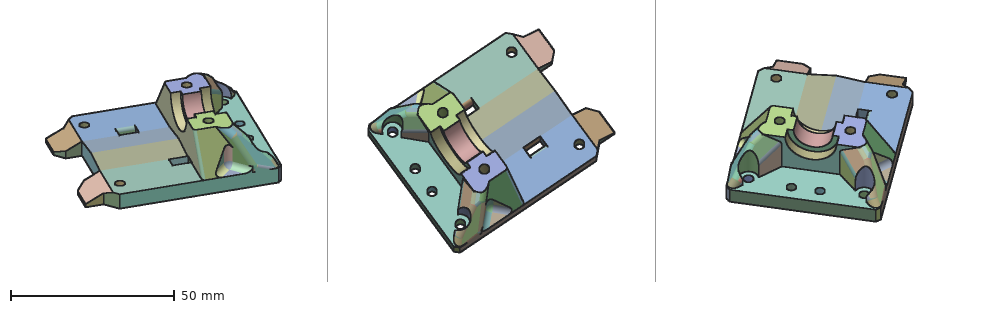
import cadquery as cq
WIDTH = 48.25
LENGTH = 62.0
PLATE_TOP = 5.2
PLATE_FRONT = 8.1
BACK_CORNER = 1.3
RIDGE_HALF_WIDTH = 9.05
RIDGE_TOP = 6.3
HALF_WIDTH = WIDTH / 2

TONGUE_OUTER_X = 20.2
TONGUE_INNER_X = RIDGE_HALF_WIDTH
TONGUE_INNER_CORNER = 3.0
TONGUE_TIP_HEIGHT = 1.2
FRONT_CORNER = HALF_WIDTH - TONGUE_OUTER_X
FRONT_CORNER_START = 9.7

TOP = 18.0
BLOCK_FRONT = 36.3
BLOCK_BACK = 49.05
BLOCK_TOP_HALF_WIDTH = 15.1
BLOCK_EDGE_RADIUS = 1.0

BORE_RADIUS = 6.1
COUNTERBORE_RADIUS = 8.0
BORE_FRONT = 39.45
BORE_BACK = 45.5

WING_TOP_SLOPE = 0.55
WING_BACK_SLOPE_X = 0.4
WING_BACK_SLOPE_Y = 1.18
WING_OUTER_SLOPE_X = 1.39
WING_OUTER_SLOPE_Y = 0.36
WING_SIDE_HEIGHT = 7.75
WING_RADIUS = 2.0
WING_SIDE_RADIUS = 1.5
WING_OVERRUN = 7.45

NOTCH_X = 17.8
NOTCH_Y = 46.15
NOTCH_RADIUS = 2.0
NOTCH_FLOOR_RADIUS = 1.9
NOTCH_BACK = NOTCH_Y + HALF_WIDTH - NOTCH_X

SCREW_DIAMETER = 3.1
PIN_DIAMETER = 3.0
CORNER_HOLE_X = 18.05
CORNER_HOLE_FRONT_Y = 11.7
CORNER_HOLE_BACK_Y = 56.25
BLOCK_HOLE_X = 11.05
BLOCK_HOLE_Y = 42.35
PIN_X = 4.45
PIN_Y = 57.3
SCREW_HEAD_DIAMETER = 6.3

SLOT_LENGTH = 6.25
SLOT_WIDTH = 3.1
SLOT_EDGE_RADIUS = 1.0
LEFT_SLOT_FRONT = 20.1
RIGHT_SLOT_FRONT = 30.3


def front_prism(points, y_start, y_end):
    """Extrude an XZ outline along Y."""
    outline = cq.Workplane("XZ", origin=(0, y_start, 0)).polyline(points).close()
    return outline.extrude(y_start - y_end)


def half_space(point, normal):
    """Large block that fills the side of a plane its normal points to."""
    reach = 4 * LENGTH
    return cq.Workplane(cq.Plane(point, normal=normal)).rect(reach, reach).extrude(reach)


def hole(x, y, diameter):
    return cq.Workplane("XY").center(x, y).circle(diameter / 2).extrude(TOP)


def mirrored(shape):
    return shape.union(shape.mirror("YZ"))


def plate_outline():
    """Left half of the plate and its tongue."""
    return [
        (0, PLATE_FRONT),
        (-TONGUE_INNER_X, PLATE_FRONT),
        (-TONGUE_INNER_X, TONGUE_INNER_CORNER),
        (-TONGUE_INNER_X - TONGUE_INNER_CORNER, 0),
        (-TONGUE_OUTER_X, 0),
        (-TONGUE_OUTER_X, FRONT_CORNER_START - FRONT_CORNER),
        (-HALF_WIDTH, FRONT_CORNER_START),
        (-HALF_WIDTH, LENGTH - BACK_CORNER),
        (-HALF_WIDTH + BACK_CORNER, LENGTH),
        (0, LENGTH),
    ]


def plate_prism(height):
    return mirrored(cq.Workplane("XY").polyline(plate_outline()).close().extrude(height))


def plate():
    """Plate with sloping tongues and a low ridge along the middle."""
    tongue_drop = PLATE_TOP - TONGUE_TIP_HEIGHT
    above_tongues = half_space((0, PLATE_FRONT, PLATE_TOP), (0, -tongue_drop, PLATE_FRONT))
    ridge = front_prism(
        [(-RIDGE_HALF_WIDTH, 0), (-RIDGE_HALF_WIDTH, PLATE_TOP), (0, RIDGE_TOP),
         (RIDGE_HALF_WIDTH, PLATE_TOP), (RIDGE_HALF_WIDTH, 0)],
        PLATE_FRONT, BLOCK_FRONT,
    )
    return plate_prism(PLATE_TOP).cut(above_tongues).union(ridge)


def block():
    """Left half of the bearing block."""
    body = front_prism(
        [(-HALF_WIDTH, PLATE_TOP), (-BLOCK_TOP_HALF_WIDTH, TOP),
         (0, TOP), (0, PLATE_TOP)],
        BLOCK_FRONT, BLOCK_BACK,
    )
    sloped_front_edge = body.faces("<Y").edges("not (|X or |Z)")
    return sloped_front_edge.fillet(BLOCK_EDGE_RADIUS)


def wing():
    """Left wing: a diagonal wall that falls towards the back corner."""
    crest = (-BLOCK_TOP_HALF_WIDTH, BLOCK_BACK, TOP)
    body = cq.Workplane("XY", origin=(-HALF_WIDTH, BLOCK_FRONT, 0)).box(
        HALF_WIDTH - RIDGE_HALF_WIDTH, LENGTH + WING_OVERRUN - BLOCK_FRONT, TOP, centered=False)
    body = body.cut(half_space((-NOTCH_X, NOTCH_Y, 0), (-1, -1, 0)))
    body = body.cut(half_space(crest, (-WING_TOP_SLOPE, WING_TOP_SLOPE, 2 ** 0.5)))
    body = body.cut(half_space(crest, (WING_BACK_SLOPE_X, WING_BACK_SLOPE_Y, 1)))
    body = body.cut(half_space((-RIDGE_HALF_WIDTH, BLOCK_BACK, 0), (1, 1, 0)))
    body = body.cut(half_space((-HALF_WIDTH, NOTCH_BACK, WING_SIDE_HEIGHT),
                               (-WING_OUTER_SLOPE_X, WING_OUTER_SLOPE_Y, 1)))
    slanted_edges = body.edges("not (#Z or |Z or <X or >X or >Y)")
    body = slanted_edges.fillet(WING_RADIUS)
    side_edge = body.faces("<X").edges("not (|Y or |Z)")
    return side_edge.fillet(WING_SIDE_RADIUS)


def notch_floor_filler():
    """Stock behind the block for the fillet at the foot of the rear notch wall."""
    return cq.Workplane("XY", origin=(-HALF_WIDTH, BLOCK_BACK, 0)).box(
        HALF_WIDTH - NOTCH_X, NOTCH_BACK - BLOCK_BACK, PLATE_TOP + NOTCH_RADIUS, centered=False)


def notch():
    """Cutter for the left notch, rounded in its corner and along its floor."""
    reach = 2 * (HALF_WIDTH - NOTCH_X)
    tool = (
        cq.Workplane("XY", origin=(0, 0, PLATE_TOP))
        .polyline([(-NOTCH_X, NOTCH_Y), (-NOTCH_X - reach, NOTCH_Y + reach),
                   (-NOTCH_X - reach, NOTCH_Y - reach)])
        .close()
        .extrude(TOP)
    )
    tool = tool.edges("|Z and >X").fillet(NOTCH_RADIUS)
    return tool.faces("<Z").edges("not(<X)").fillet(NOTCH_FLOOR_RADIUS)


def bearing_seat():
    """Bore with a wider counterbore at each end, centred on the block top."""
    def bore(radius, y_start, y_end):
        return cq.Workplane("XZ", origin=(0, y_start, TOP)).circle(radius).extrude(y_start - y_end)

    seat = bore(BORE_RADIUS, BLOCK_FRONT, BLOCK_BACK)
    seat = seat.union(bore(COUNTERBORE_RADIUS, BLOCK_FRONT, BORE_FRONT))
    return seat.union(bore(COUNTERBORE_RADIUS, BORE_BACK, BLOCK_BACK))


def slot(side, y_front):
    """Through slot whose outer top edge is rounded over."""
    inner = side * RIDGE_HALF_WIDTH
    outer = inner + side * SLOT_WIDTH
    profile = (
        cq.Workplane("XZ", origin=(0, y_front, 0))
        .moveTo(inner, 0)
        .lineTo(inner, PLATE_TOP)
        .lineTo(outer + side * SLOT_EDGE_RADIUS, PLATE_TOP)
        .radiusArc((outer, PLATE_TOP - SLOT_EDGE_RADIUS), side * -SLOT_EDGE_RADIUS)
        .lineTo(outer, 0)
        .close()
    )
    return profile.extrude(-SLOT_LENGTH)


left_head = wing().union(block()).union(notch_floor_filler()).cut(notch())
head = mirrored(left_head).intersect(plate_prism(TOP))
result = plate().union(head).cut(bearing_seat())

for side in (-1, 1):
    result = result.cut(hole(side * CORNER_HOLE_X, CORNER_HOLE_FRONT_Y, SCREW_DIAMETER))
    result = result.cut(hole(side * CORNER_HOLE_X, CORNER_HOLE_BACK_Y, SCREW_DIAMETER))
    result = result.cut(hole(side * BLOCK_HOLE_X, BLOCK_HOLE_Y, SCREW_DIAMETER))
    result = result.cut(hole(side * PIN_X, PIN_Y, PIN_DIAMETER))
    head_room = hole(side * CORNER_HOLE_X, CORNER_HOLE_BACK_Y, SCREW_HEAD_DIAMETER)
    result = result.cut(head_room.translate((0, 0, PLATE_TOP)))

result = result.cut(slot(-1, LEFT_SLOT_FRONT))
result = result.cut(slot(1, RIGHT_SLOT_FRONT))